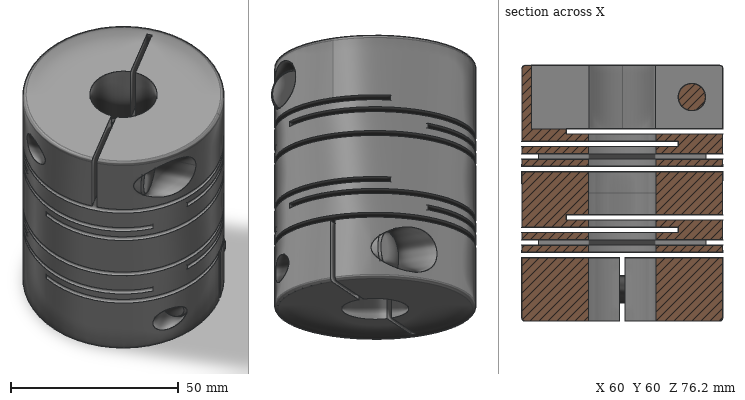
import cadquery as cq

LENGTH = 76.2
BODY_DIAMETER = 60.0
BORE_DIAMETER = 20.0
EDGE_RADIUS = 1.0
BODY_RADIUS = BODY_DIAMETER / 2

SLIT_WIDTH = 1.5
SLIT_PITCH = 3.7
SLIT_SET_PITCH = 25.6
SLIT_REACH = 16.6
SLIT_ENTRY_ANGLES = (-90, 90, 180, 0)

SLIT_SET_SPAN = (len(SLIT_ENTRY_ANGLES) - 1) * SLIT_PITCH + SLIT_WIDTH
HUB_LENGTH = (LENGTH - SLIT_SET_PITCH - SLIT_SET_SPAN) / 2
CLAMP_GAP = 1.5
CLAMP_HINGE_Y = 27.0

SCREW_Y = -20.7
SCREW_Z = LENGTH / 2 - HUB_LENGTH / 2
SCREW_DIAMETER = 8.15
SCREW_TIP_X = -17.0
SCREW_TIP_CHAMFER = 0.9
HEAD_DIAMETER = 13.95
HEAD_TOP_X = 14.4
HEAD_HEIGHT = 8.0
HEAD_SEAT_X = HEAD_TOP_X - HEAD_HEIGHT
HEAD_CHAMFER = 0.7


def make_body():
    """Bored cylinder centred on the origin, with rounded outer rims."""
    cylinder = cq.Workplane("XY").circle(BODY_RADIUS).extrude(LENGTH / 2, both=True)
    cylinder = cylinder.faces("|Z").edges().fillet(EDGE_RADIUS)
    bore = cq.Workplane("XY").circle(BORE_DIAMETER / 2).extrude(LENGTH / 2, both=True)
    return cylinder.cut(bore)


def make_slit(entry_angle, z):
    """Flat cut entering from entry_angle and ending SLIT_REACH past the axis."""
    slit = cq.Workplane("XY").box(
        BODY_DIAMETER + SLIT_REACH, BODY_DIAMETER, SLIT_WIDTH, centered=(False, True, True)
    )
    return slit.translate((-SLIT_REACH, 0, z)).rotate((0, 0, 0), (0, 0, 1), entry_angle)


def rod_along_x(diameter, start_x, end_x):
    """Cylinder on the clamp screw axis of the upper hub."""
    plane = cq.Workplane("YZ", origin=(start_x, SCREW_Y, SCREW_Z))
    return plane.circle(diameter / 2).extrude(end_x - start_x)


def make_clamp_cuts():
    """Gap through the upper hub and the counterbored hole for its screw."""
    gap = cq.Workplane("XY").box(
        CLAMP_GAP, CLAMP_HINGE_Y + BODY_RADIUS, HUB_LENGTH, centered=(True, False, False)
    )
    gap = gap.translate((0, -BODY_RADIUS, LENGTH / 2 - HUB_LENGTH))
    hole = rod_along_x(SCREW_DIAMETER, -BODY_RADIUS, BODY_RADIUS)
    counterbore = rod_along_x(HEAD_DIAMETER, HEAD_SEAT_X, BODY_RADIUS)
    return gap.union(hole).union(counterbore)


def make_screw():
    """Screw filling its hole; one side of the head stands proud of the body."""
    shank = rod_along_x(SCREW_DIAMETER, SCREW_TIP_X, HEAD_SEAT_X)
    shank = shank.faces("<X").chamfer(SCREW_TIP_CHAMFER)
    head = rod_along_x(HEAD_DIAMETER, HEAD_SEAT_X, HEAD_TOP_X)
    head = head.faces(">X").chamfer(HEAD_CHAMFER)
    return shank.union(head)


def to_lower_hub(shape):
    """Mirror an upper hub feature to the lower hub, a quarter turn round."""
    return shape.mirror("XY").rotate((0, 0, 0), (0, 0, 1), 90)


result = make_body()

first_slit_z = LENGTH / 2 - HUB_LENGTH - SLIT_WIDTH / 2
for set_top_z in (first_slit_z, first_slit_z - SLIT_SET_PITCH):
    for index, entry_angle in enumerate(SLIT_ENTRY_ANGLES):
        result = result.cut(make_slit(entry_angle, set_top_z - index * SLIT_PITCH))

clamp_cuts = make_clamp_cuts()
screw = make_screw()
result = result.cut(clamp_cuts).cut(to_lower_hub(clamp_cuts))
result = result.union(screw).union(to_lower_hub(screw))